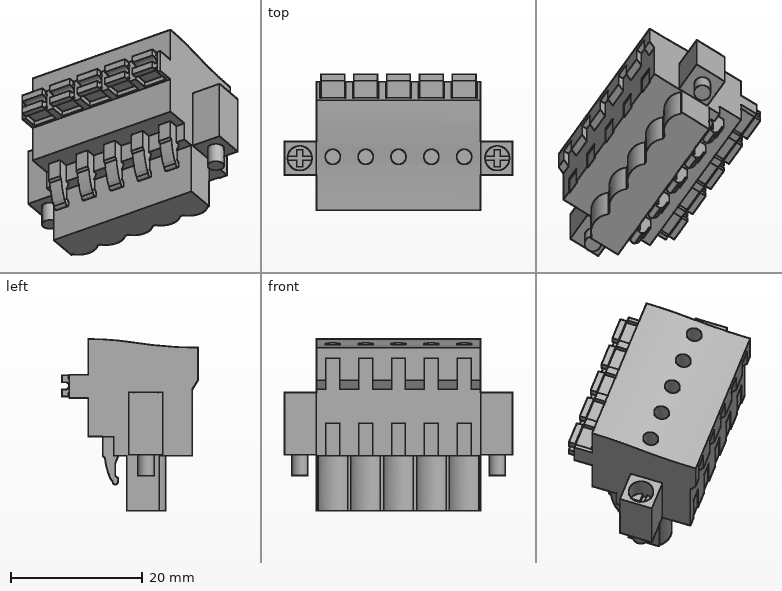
import cadquery as cq
import math


pole_count = 5
pole_pitch = 5.0
housing_width = pole_count * pole_pitch
overall_width = 34.8
pole_centers = [(i - (pole_count - 1) / 2) * pole_pitch for i in range(pole_count)]

body_back = 16.77
body_bottom = 8.4
front_step = 0.87
step_top = 19.95
step_bottom = 18.5
rear_notch_y = 12.85
rear_notch_z = 11.3

roof_back_z = 26.25
roof_front_z = 24.9
crest_y = 9.75
roof_drop = roof_back_z - roof_front_z
crest_z = roof_front_z + roof_drop * crest_y / body_back
crest_angle = 2 * math.atan(roof_drop / body_back)

ledge_back = 19.65
ledge_bottom = 17.2
ledge_top = 20.78
pocket_width = 3.85
pocket_front = 17.15

lever_width = 3.65
lever_back = 20.78
head_front = 19.75
head_height = 3.27
stem_height = 2.23
lever_z = 19.07
groove_height = 1.08
groove_bottom = 19.7

slot_width = 2.1
upper_slot_top = 23.3
lower_slot_top = 13.4
lower_slot_depth = 0.17
lower_slot_back = front_step + lower_slot_depth

wire_hole_diameter = 2.3
wire_hole_y = 8.18
wire_hole_bottom = 20.88

plug_back = 10.9
plug_flat_y = 5.9
plug_front = 4.9
lobe_width = 4.5

latch_width = 2.1
latch_back = 14.58
latch_hook_front = 12.15
latch_neck_front = 12.63
latch_neck_top = 7.25
latch_neck_bottom = 5.32
latch_hook_top = 4.98
latch_back_chamfer = 0.35
latch_spine_middle = (13.95, 6.5)
latch_spine_end = (13.45, 4.98)
latch_tip_back = (13.05, 4.45)
latch_tip = (12.6, 4.0)
latch_tip_front = (12.2, 4.4)

flange_width = (overall_width - housing_width) / 2
flange_front = 5.4
flange_back = 10.55
flange_bottom = 8.53
flange_top = 18.05
screw_inset = 2.33
screw_x = overall_width / 2 - screw_inset
screw_y = (flange_front + flange_back) / 2

head_diameter = 3.75
head_recess = 3.48
screw_head_height = 2.1
shank_diameter = 2.5
shank_bottom = 5.35
cross_depth = 0.7
blade_slot_width = 0.65
cross_slot_width = 0.87
cross_slot_length = 2.6
screw_head_top = flange_top - head_recess
screw_head_bottom = screw_head_top - screw_head_height


def box(x0, x1, y0, y1, z0, z1):
    return cq.Workplane("XY").box(x1 - x0, y1 - y0, z1 - z0, centered=False).translate((x0, y0, z0))


def centered_box(x, width, y0, y1, z0, z1):
    return box(x - width / 2, x + width / 2, y0, y1, z0, z1)


def cylinder(x, y, diameter, z0, z1):
    return cq.Workplane("XY", origin=(x, y, z0)).circle(diameter / 2).extrude(z1 - z0)


def extrude_profile(profile, x, width):
    """Extrude a closed YZ profile along X, centered on x."""
    return profile.extrude(width / 2, both=True).translate((x, 0, 0))


def make_body():
    """Stepped body under the curved roof."""
    back_radius = (body_back - crest_y) / math.sin(crest_angle)
    front_radius = crest_y / math.sin(crest_angle)
    half_sine = math.sin(crest_angle / 2)
    half_sagitta = 1 - math.cos(crest_angle / 2)
    back_arc_middle = (body_back - back_radius * half_sine, roof_back_z - back_radius * half_sagitta)
    front_arc_middle = (front_radius * half_sine, roof_front_z + front_radius * half_sagitta)
    profile = (
        cq.Workplane("YZ")
        .moveTo(front_step, body_bottom)
        .lineTo(rear_notch_y, body_bottom)
        .lineTo(rear_notch_y, rear_notch_z)
        .lineTo(body_back, rear_notch_z)
        .lineTo(body_back, roof_back_z)
        .threePointArc(back_arc_middle, (crest_y, crest_z))
        .threePointArc(front_arc_middle, (0, roof_front_z))
        .lineTo(0, step_top)
        .lineTo(front_step, step_bottom)
        .close()
    )
    return extrude_profile(profile, 0, housing_width)


def make_plug():
    """Plug with one round lobe per pole."""
    plug = centered_box(0, housing_width, plug_flat_y, plug_back, 0, body_bottom)
    for x in pole_centers:
        lobe = (
            cq.Workplane("XY")
            .moveTo(x - lobe_width / 2, plug_flat_y)
            .threePointArc((x, plug_front), (x + lobe_width / 2, plug_flat_y))
            .close()
            .extrude(body_bottom)
        )
        plug = plug.union(lobe)
    return plug


def make_latch(x):
    """Hooked finger that hangs from the rear step."""
    profile = (
        cq.Workplane("YZ")
        .moveTo(rear_notch_y, rear_notch_z)
        .lineTo(latch_back, rear_notch_z)
        .lineTo(latch_back, body_bottom)
        .lineTo(latch_back - latch_back_chamfer, body_bottom - latch_back_chamfer)
        .threePointArc(latch_spine_middle, latch_spine_end)
        .lineTo(*latch_tip_back)
        .threePointArc(latch_tip, latch_tip_front)
        .lineTo(latch_hook_front, latch_hook_top)
        .lineTo(latch_neck_front, latch_neck_bottom)
        .lineTo(latch_neck_front, latch_neck_top)
        .lineTo(latch_hook_front, body_bottom)
        .lineTo(rear_notch_y, body_bottom)
        .close()
    )
    return extrude_profile(profile, x, latch_width)


def make_flange(side):
    """Flange block with a hole that the screw fills below the head recess."""
    flange_center = side * (overall_width - flange_width) / 2
    hole_center = side * screw_x
    flange = centered_box(flange_center, flange_width, flange_front, flange_back, flange_bottom, flange_top)
    flange = flange.cut(cylinder(hole_center, screw_y, head_diameter, screw_head_bottom, flange_top))
    return flange.cut(cylinder(hole_center, screw_y, shank_diameter, flange_bottom, screw_head_bottom))


def make_housing():
    housing = make_body()
    housing = housing.union(centered_box(0, housing_width, body_back, ledge_back, ledge_bottom, ledge_top))
    housing = housing.union(make_plug())
    for side in (-1, 1):
        housing = housing.union(make_flange(side))
    for x in pole_centers:
        housing = housing.union(make_latch(x))
        housing = housing.cut(centered_box(x, pocket_width, pocket_front, ledge_back, ledge_bottom, ledge_top))
        housing = housing.cut(centered_box(x, slot_width, 0, front_step, step_bottom, upper_slot_top))
        housing = housing.cut(
            centered_box(x, slot_width, front_step, lower_slot_back, body_bottom, lower_slot_top)
        )
        housing = housing.cut(cylinder(x, wire_hole_y, wire_hole_diameter, wire_hole_bottom, roof_back_z))
    return housing


def make_lever(x):
    """Stem lying in a ledge pocket, with a taller head behind it that has a rounded groove."""
    stem = centered_box(
        x, lever_width, pocket_front, head_front, lever_z - stem_height / 2, lever_z + stem_height / 2
    )
    head = centered_box(
        x, lever_width, head_front, lever_back, lever_z - head_height / 2, lever_z + head_height / 2
    )
    radius = groove_height / 2
    groove_center = groove_bottom + radius
    groove = (
        cq.Workplane("YZ")
        .moveTo(lever_back, lever_z + radius)
        .lineTo(groove_center, lever_z + radius)
        .threePointArc((groove_bottom, lever_z), (groove_center, lever_z - radius))
        .lineTo(lever_back, lever_z - radius)
        .close()
    )
    return stem.union(head).cut(extrude_profile(groove, x, lever_width))


def make_screw(side):
    """Flange screw with two crossed driver slots in its head."""
    x = side * screw_x
    screw = cylinder(x, screw_y, head_diameter, screw_head_bottom, screw_head_top)
    screw = screw.union(cylinder(x, screw_y, shank_diameter, shank_bottom, screw_head_bottom))
    slots = ((head_diameter, blade_slot_width), (cross_slot_width, cross_slot_length))
    for size_x, size_y in slots:
        slot = centered_box(
            x, size_x, screw_y - size_y / 2, screw_y + size_y / 2, screw_head_top - cross_depth, screw_head_top
        )
        screw = screw.cut(slot)
    return screw


housing = make_housing()
levers = [make_lever(x) for x in pole_centers]
screws = [make_screw(side) for side in (-1, 1)]

result = cq.Compound.makeCompound(
    [housing.val()] + [lever.val() for lever in levers] + [screw.val() for screw in screws]
)